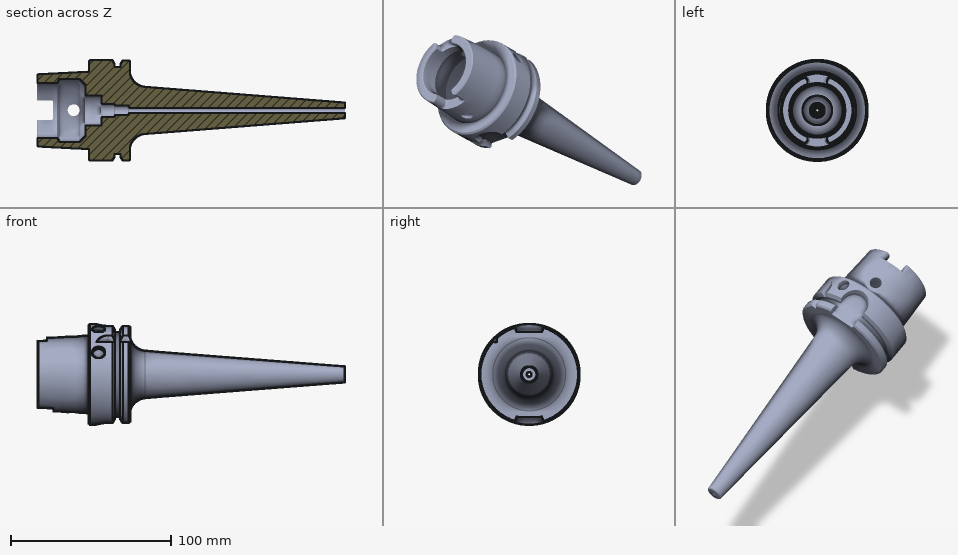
import cadquery as cq
import math


shank_length = 32.0
taper_face_radius = 24.3
taper_ratio = 9.98
shank_tail_radius = taper_face_radius - shank_length / taper_ratio / 2
shank_chamfer = 0.7

flange_radius = 31.5
flange_width = 26.0
flange_chamfer = 1.0
groove_radius = 27.35
groove_rim_radius = 29.0
groove_start = 16.3
groove_end = 19.7
front_flank_start = 14.8
rear_flank_end = 21.3

nose_end = 160.0
nose_tip_radius = 5.08
nose_half_angle = math.radians(4.5)
nose_chamfer = 0.5
neck_fillet_radius = 10.0
neck_fillet_end = 35.0

bore_radius = 17.0
bore_chamfer = 0.5
bore_straight_end = -19.5
recess_radius = 19.5
recess_angle = math.radians(60)
bore_floor_radius = 15.8
bore_floor = -2.0
thread_radius = 9.2
thread_floor = 8.0
pilot_chamfer = 0.8
pilot_radius = 3.8
pilot_depth = 8.0
feed_radius = 2.8
feed_depth = 8.0
drill_point_angle = math.radians(59)
coolant_radius = 1.4

keyway_half_width = 6.1
keyway_edge_radius = 3.0
keyway_edge_height = 17.9
keyway_corner_radius = 1.2
upper_keyway_depth = 6.0
lower_keyway_depth = 10.0

cross_hole_radius = 3.7
cross_hole_chamfer = 0.4
cross_hole_x = -9.2

slot_floor = 26.5
slot_radius = 7.9
slot_end = 5.3
slot_draft = 15.0

notch_offset = 20.1
notch_end_radius = 8.0
notch_arc_x = 12.0
data_hole_radius = 4.0
data_hole_x = 6.2
data_hole_depth = 3.5
data_hole_angles = (26.0, 64.0)

clearance = 5.0
edge_margin = 0.1


def revolve_about_axis(profile):
    return profile.close().revolve(360, (0, 0, 0), (1, 0, 0))


def make_body():
    slope = math.tan(nose_half_angle)
    neck_radius = nose_tip_radius + (nose_end - nose_chamfer - neck_fillet_end) * slope
    center_x = neck_fillet_end + neck_fillet_radius * math.sin(nose_half_angle)
    center_r = neck_radius + neck_fillet_radius * math.cos(nose_half_angle)
    start_angle = math.acos((center_x - flange_width) / neck_fillet_radius)
    end_angle = math.pi / 2 - nose_half_angle

    def fillet_point(angle):
        return (center_x - neck_fillet_radius * math.cos(angle),
                center_r - neck_fillet_radius * math.sin(angle))

    profile = (
        cq.Workplane("XY")
        .moveTo(-shank_length, 0)
        .lineTo(-shank_length, shank_tail_radius - shank_chamfer)
        .lineTo(-shank_length + shank_chamfer, shank_tail_radius)
        .lineTo(0, taper_face_radius)
        .lineTo(0, flange_radius - flange_chamfer)
        .lineTo(flange_chamfer, flange_radius)
        .lineTo(front_flank_start, flange_radius)
        .lineTo(groove_start, groove_rim_radius)
        .lineTo(groove_start, groove_radius)
        .lineTo(groove_end, groove_radius)
        .lineTo(groove_end, groove_rim_radius)
        .lineTo(rear_flank_end, flange_radius)
        .lineTo(flange_width - flange_chamfer, flange_radius)
        .lineTo(flange_width, flange_radius - flange_chamfer)
        .lineTo(*fillet_point(start_angle))
        .threePointArc(fillet_point((start_angle + end_angle) / 2), fillet_point(end_angle))
        .lineTo(nose_end - nose_chamfer, nose_tip_radius)
        .lineTo(nose_end, nose_tip_radius - nose_chamfer)
        .lineTo(nose_end, 0)
    )
    return revolve_about_axis(profile)


def make_bores():
    recess_start = bore_straight_end + (recess_radius - bore_radius) / math.tan(recess_angle)
    recess_end = bore_floor - (recess_radius - bore_floor_radius)
    pilot_floor = thread_floor + pilot_depth
    pilot_point = (pilot_radius - feed_radius) / math.tan(drill_point_angle)
    feed_floor = pilot_floor + pilot_point + feed_depth
    feed_point = (feed_radius - coolant_radius) / math.tan(drill_point_angle)
    profile = (
        cq.Workplane("XY")
        .moveTo(-shank_length, 0)
        .lineTo(-shank_length, bore_radius + bore_chamfer)
        .lineTo(-shank_length + bore_chamfer, bore_radius)
        .lineTo(bore_straight_end, bore_radius)
        .lineTo(recess_start, recess_radius)
        .lineTo(recess_end, recess_radius)
        .lineTo(bore_floor, bore_floor_radius)
        .lineTo(bore_floor, thread_radius)
        .lineTo(thread_floor, thread_radius)
        .lineTo(thread_floor, pilot_radius + pilot_chamfer)
        .lineTo(thread_floor + pilot_chamfer, pilot_radius)
        .lineTo(pilot_floor, pilot_radius)
        .lineTo(pilot_floor + pilot_point, feed_radius)
        .lineTo(feed_floor, feed_radius)
        .lineTo(feed_floor + feed_point, coolant_radius)
        .lineTo(nose_end, coolant_radius)
        .lineTo(nose_end, 0)
    )
    return revolve_about_axis(profile)


def make_keyway(depth):
    """Keyway cutter on the +Z side; its outer side edges flare out in an arc."""
    flare_half_width = keyway_half_width + keyway_edge_radius
    flare_height = keyway_edge_height + keyway_edge_radius
    arc_step = keyway_edge_radius * math.sqrt(0.5)
    arc_half_width = flare_half_width - arc_step
    arc_height = keyway_edge_height + arc_step
    top = taper_face_radius + clearance
    cutter = (
        cq.Workplane("YZ", origin=(-shank_length, 0, 0))
        .moveTo(-keyway_half_width, 0)
        .lineTo(keyway_half_width, 0)
        .lineTo(keyway_half_width, keyway_edge_height)
        .threePointArc((arc_half_width, arc_height), (flare_half_width, flare_height))
        .lineTo(flare_half_width, top)
        .lineTo(-flare_half_width, top)
        .lineTo(-flare_half_width, flare_height)
        .threePointArc((-arc_half_width, arc_height), (-keyway_half_width, keyway_edge_height))
        .close()
        .extrude(depth)
    )
    floor_x = depth - shank_length
    wall_edges = cq.selectors.BoxSelector(
        (floor_x - edge_margin, -flare_half_width - edge_margin, edge_margin),
        (floor_x + edge_margin, flare_half_width + edge_margin, top - edge_margin),
    )
    return cutter.edges(wall_edges).fillet(keyway_corner_radius)


def make_drive_slot():
    """Round-ended slot cutter on the +Z side with drafted walls, open towards +X."""
    center_x = slot_end + slot_radius
    far_x = flange_width + clearance
    return (
        cq.Workplane("XY", origin=(0, 0, slot_floor))
        .moveTo(far_x, -slot_radius)
        .lineTo(center_x, -slot_radius)
        .threePointArc((slot_end, 0), (center_x, slot_radius))
        .lineTo(far_x, slot_radius)
        .close()
        .extrude(flange_radius - slot_floor + clearance, taper=-slot_draft)
    )


def make_orientation_notch():
    """Right-angled notch on the (-Y, +Z) side that runs out in an arc."""
    arc_step = notch_end_radius * math.sqrt(0.5)
    arc_center_y = -notch_offset - notch_end_radius
    far_x = flange_width + clearance
    return (
        cq.Workplane("XY", origin=(0, 0, notch_offset))
        .moveTo(far_x, -notch_offset)
        .lineTo(notch_arc_x, -notch_offset)
        .threePointArc((notch_arc_x - arc_step, arc_center_y + arc_step),
                       (notch_arc_x - notch_end_radius, arc_center_y))
        .lineTo(far_x, arc_center_y)
        .close()
        .extrude(flange_radius - notch_offset)
    )


def make_data_hole(angle):
    """Blind radial hole in the flange rim."""
    direction = cq.Vector(0, -math.cos(math.radians(angle)), math.sin(math.radians(angle)))
    floor_point = direction * (flange_radius - data_hole_depth) + cq.Vector(data_hole_x, 0, 0)
    hole = cq.Solid.makeCylinder(data_hole_radius, data_hole_depth + clearance, floor_point, direction)
    return cq.Workplane(obj=hole)


def make_cross_hole():
    """Through hole along Z with a countersunk mouth on both sides of the shank."""
    mouth_height = taper_face_radius + cross_hole_x / taper_ratio / 2
    top = mouth_height + clearance
    half_profile = (
        cq.Workplane("XZ", origin=(cross_hole_x, 0, 0))
        .moveTo(0, 0)
        .lineTo(cross_hole_radius, 0)
        .lineTo(cross_hole_radius, mouth_height - cross_hole_chamfer)
        .lineTo(cross_hole_radius + cross_hole_chamfer, mouth_height)
        .lineTo(cross_hole_radius + cross_hole_chamfer, top)
        .lineTo(0, top)
        .close()
    )
    upper_half = half_profile.revolve(360, (0, 0, 0), (0, 1, 0))
    return upper_half.union(opposite(upper_half))


def opposite(cutter):
    return cutter.rotate((0, 0, 0), (1, 0, 0), 180)


drive_slot = make_drive_slot()

result = make_body().cut(make_bores())
result = result.cut(make_keyway(upper_keyway_depth))
result = result.cut(opposite(make_keyway(lower_keyway_depth)))
result = result.cut(make_cross_hole())
result = result.cut(drive_slot).cut(opposite(drive_slot))
result = result.cut(make_orientation_notch())
for hole_angle in data_hole_angles:
    result = result.cut(make_data_hole(hole_angle))